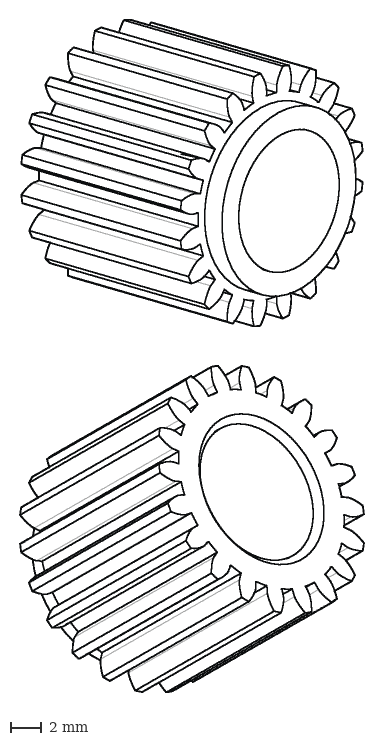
import cadquery as cq
import math

outer_size = 17.31
total_length = 15.87
gear_length = 14.32

tooth_count = 20
root_radius = 7.0
base_radius = 7.51
tip_half_angle = math.radians(2.0)
flank_points = 6

hub_radius = 6.37
bore_radius = 4.78
bore_chamfer = 0.5

tooth_pitch = 2 * math.pi / tooth_count
tip_radius = outer_size / 2 / math.cos(tooth_pitch / 2 - tip_half_angle)


def involute_angle(roll):
    """Polar angle swept by the involute after unwinding by a roll angle."""
    return roll - math.atan(roll)


tip_roll = math.sqrt((tip_radius / base_radius) ** 2 - 1)
base_half_angle = tip_half_angle + involute_angle(tip_roll)


def polar(radius, angle):
    return (radius * math.cos(angle), radius * math.sin(angle))


def flank(center_angle, side):
    """Points from the base circle to the tip on one side (-1 or 1) of a tooth."""
    points = []
    for i in range(flank_points):
        roll = tip_roll * i / (flank_points - 1)
        radius = base_radius * math.sqrt(1 + roll**2)
        half_angle = base_half_angle - involute_angle(roll)
        points.append(polar(radius, center_angle + side * half_angle))
    return points


def gear_outline():
    """Involute flanks, radial below the base circle, joined by tip and root arcs."""
    outline = cq.Workplane("YZ").moveTo(*polar(root_radius, tooth_pitch / 2 - base_half_angle))
    for i in range(tooth_count):
        center = (i + 0.5) * tooth_pitch
        rising = flank(center, -1)
        falling = flank(center, 1)[::-1]
        next_root = center + tooth_pitch - base_half_angle
        outline = (
            outline.lineTo(*rising[0])
            .spline(rising[1:], includeCurrent=True)
            .threePointArc(polar(tip_radius, center), falling[0])
            .spline(falling[1:], includeCurrent=True)
            .lineTo(*polar(root_radius, center + base_half_angle))
            .threePointArc(
                polar(root_radius, center + tooth_pitch / 2),
                polar(root_radius, next_root),
            )
        )
    return outline.close()


gear = gear_outline().extrude(gear_length)
hub = cq.Workplane("YZ").circle(hub_radius).extrude(total_length)
bore = cq.Workplane("YZ").circle(bore_radius).extrude(total_length)

lead_in = cq.Workplane("XY").polyline(
    [(0, 0), (0, bore_radius + bore_chamfer), (bore_chamfer, bore_radius), (bore_chamfer, 0)]
).close().revolve(360, (0, 0, 0), (1, 0, 0))

result = gear.union(hub).cut(bore).cut(lead_in)